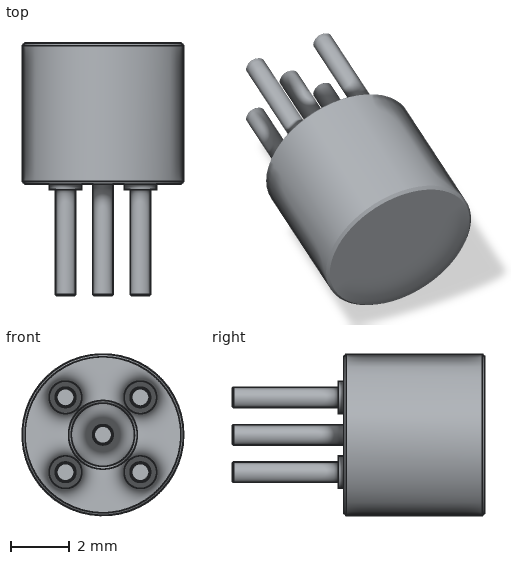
import cadquery as cq

total_length = 8.61
body_diameter = 5.5
body_length = 4.81
body_chamfer = 0.095

pin_diameter = 0.7
pin_chamfer = 0.05
pin_offset = 1.27
collar_diameter = 1.11
collar_height = 0.19

recess_mouth_diameter = 2.34
recess_depth = 0.095

pin_length = total_length - body_length
corner_positions = [(x, z) for x in (-pin_offset, pin_offset) for z in (-pin_offset, pin_offset)]


def cylinder(diameter, start_y, length, x=0, z=0):
    """Cylinder that starts at start_y and extends toward -Y."""
    return (
        cq.Workplane("XZ", origin=(x, start_y, z))
        .circle(diameter / 2)
        .extrude(length)
    )


def make_body():
    """Chamfered cylinder with its pin face at Y = 0 and a cone-walled recess in that face."""
    body = cylinder(body_diameter, body_length, body_length).edges().chamfer(body_chamfer)
    floor_radius = recess_mouth_diameter / 2 - recess_depth
    recess = cq.Solid.makeCone(
        recess_mouth_diameter / 2,
        floor_radius,
        recess_depth,
        pnt=cq.Vector(0, 0, 0),
        dir=cq.Vector(0, 1, 0),
    )
    return body.cut(cq.Workplane(recess))


def make_pin(start_y, x=0, z=0):
    """Pin with a chamfered free end."""
    pin = cylinder(pin_diameter, start_y, start_y + pin_length, x, z)
    return pin.faces("<Y").edges().chamfer(pin_chamfer)


result = make_body().union(make_pin(recess_depth))
for x, z in corner_positions:
    collar = cylinder(collar_diameter, 0, collar_height, x, z)
    result = result.union(collar).union(make_pin(0, x, z))